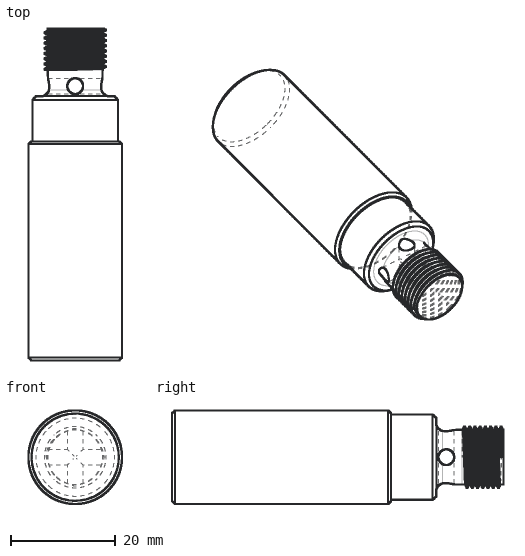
import cadquery as cq

length = 63.5
body_radius = 18.0 / 2
shoulder_radius = 16.4 / 2
neck_radius = 10.55 / 2
neck_waist_radius = 5.2

waist_setback = 11.7
shoulder_setback = 12.9
body_setback = 21.5
cross_hole_setback = 11.0

front_chamfer = 0.65
body_rear_chamfer = 0.6
shoulder_chamfer = 0.7
neck_fillet = shoulder_setback - waist_setback
cross_hole_diameter = 3.0

thread_pitch = 1.0
thread_turns = 7.5
thread_crest_radius = 11.75 / 2
thread_crest_width = 0.1
thread_base_width = 0.8
thread_root_embed = 0.1
thread_start_setback = 0.25
thread_end_setback = 7.95


def turned_body():
    """Revolve the stepped half outline about the Y axis."""
    body_y = length - body_setback
    shoulder_y = length - shoulder_setback
    waist_y = length - waist_setback
    fillet_end_radius = neck_waist_radius + neck_fillet
    fillet_mid_offset = neck_fillet * (1 - 0.5 ** 0.5)
    return (
        cq.Workplane("XY")
        .moveTo(0, 0)
        .lineTo(body_radius - front_chamfer, 0)
        .lineTo(body_radius, front_chamfer)
        .lineTo(body_radius, body_y - body_rear_chamfer)
        .lineTo(body_radius - body_rear_chamfer, body_y)
        .lineTo(shoulder_radius, body_y)
        .lineTo(shoulder_radius, shoulder_y - shoulder_chamfer)
        .lineTo(shoulder_radius - shoulder_chamfer, shoulder_y)
        .lineTo(fillet_end_radius, shoulder_y)
        .threePointArc(
            (neck_waist_radius + fillet_mid_offset, shoulder_y + fillet_mid_offset),
            (neck_waist_radius, waist_y),
        )
        .lineTo(neck_radius, length - thread_end_setback)
        .lineTo(neck_radius, length)
        .lineTo(0, length)
        .close()
        .revolve(360, (0, 0, 0), (0, 1, 0))
    )


def thread_ridge():
    """Sweep a flat-crested tooth along a helix, then trim it to the threaded length."""
    root_radius = neck_radius - thread_root_embed
    helix = cq.Wire.makeHelix(thread_pitch, thread_pitch * thread_turns, root_radius)
    ridge = (
        cq.Workplane("XZ")
        .polyline([
            (root_radius, -thread_base_width / 2),
            (thread_crest_radius, -thread_crest_width / 2),
            (thread_crest_radius, thread_crest_width / 2),
            (root_radius, thread_base_width / 2),
        ])
        .close()
        .sweep(cq.Workplane(obj=helix), isFrenet=True)
        .rotate((0, 0, 0), (1, 0, 0), 90)
        .translate((0, length - thread_start_setback, 0))
    )
    threaded_zone = (
        cq.Workplane("XZ", origin=(0, length, 0))
        .circle(body_radius)
        .extrude(thread_end_setback)
    )
    return ridge.intersect(threaded_zone)


def cross_hole(plane):
    """Bore through the full neck, normal to the given plane."""
    return (
        cq.Workplane(plane, origin=(0, length - cross_hole_setback, 0))
        .circle(cross_hole_diameter / 2)
        .extrude(body_radius, both=True)
    )


result = turned_body().union(thread_ridge())
for hole_plane in ("XY", "YZ"):
    result = result.cut(cross_hole(hole_plane))